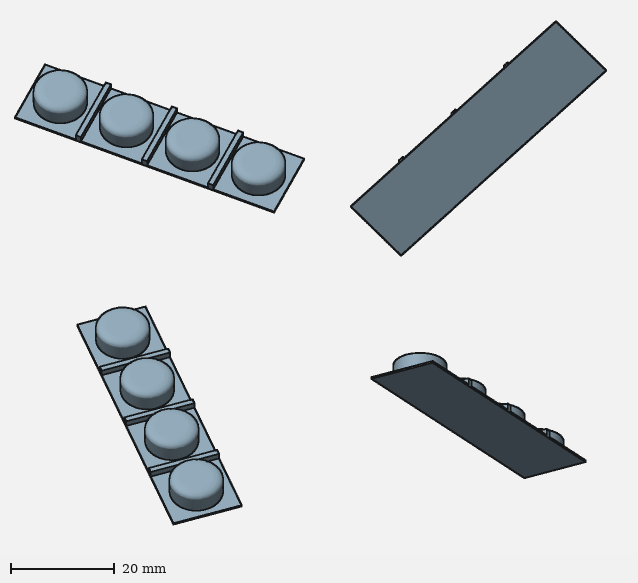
import cadquery as cq

length = 55.0
width = 14.0
base_thickness = 0.4

button_count = 4
pitch = 14.0
button_diameter = 10.4
flat_diameter = 6.5
total_height = 4.5
shoulder_height = 3.5

rib_width = 1.1
rib_top = 1.7


def centred_row(count):
    """Points along X, one pitch apart and centred on the origin."""
    return [((i - (count - 1) / 2) * pitch, 0) for i in range(count)]


def make_button():
    """Cylinder whose rim curves along a quarter ellipse into a flat top."""
    radius = button_diameter / 2
    flat_radius = flat_diameter / 2
    rim_run = radius - flat_radius
    rim_rise = total_height - shoulder_height
    return (
        cq.Workplane("XZ")
        .lineTo(radius, 0)
        .lineTo(radius, shoulder_height)
        .ellipseArc(rim_run, rim_rise, 0, 90, startAtCurrent=True)
        .lineTo(0, total_height)
        .close()
        .revolve(360, (0, 0, 0), (0, 1, 0))
    )


result = cq.Workplane("XY").box(length, width, base_thickness, centered=(True, True, False))

ribs = (
    cq.Workplane("XY")
    .pushPoints(centred_row(button_count - 1))
    .rect(rib_width, width)
    .extrude(rib_top)
)
result = result.union(ribs)

button = make_button()
for x, y in centred_row(button_count):
    result = result.union(button.translate((x, y, 0)))